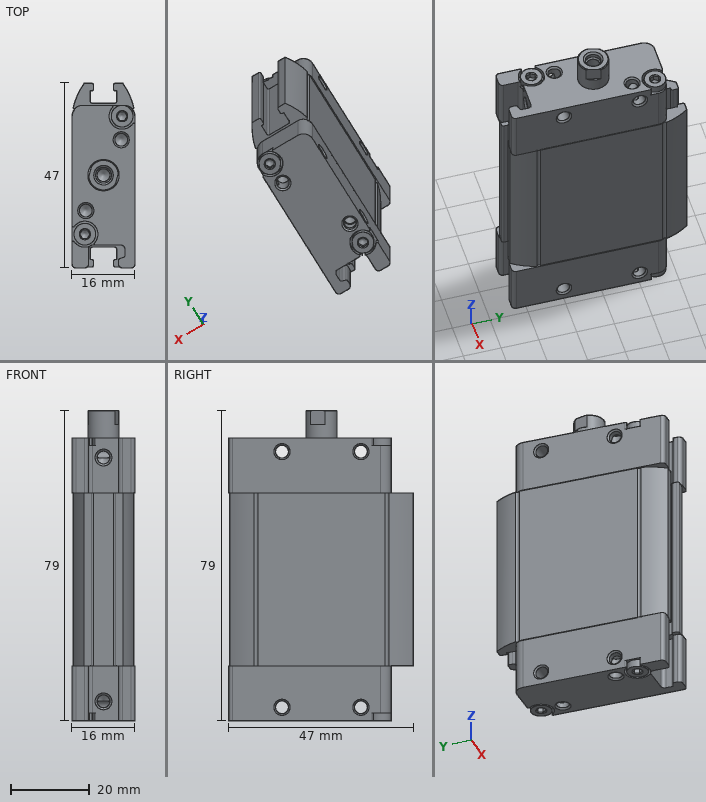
import cadquery as cq
import math


TOTAL_HEIGHT = 79.0
CAP_HEIGHT = 14.0
TUBE_HEIGHT = 44.0
TUBE_TOP = CAP_HEIGHT + TUBE_HEIGHT

CAP_WIDTH = 16.0
CAP_HALF_WIDTH = CAP_WIDTH / 2
CAP_BACK = 17.8
CAP_FRONT = -23.6
CAP_BACK_RADIUS = 2.8
CAP_EDGE_RADIUS = 1.0

CAP_SLOT_HALF_WIDTH = 3.8
CAP_SLOT_FLOOR = -17.8
UNDERCUT_X = 5.45
UNDERCUT_CORNER_Y = -20.8
UNDERCUT_LIP_Y = -21.3
UNDERCUT_RADIUS = 0.5

TUBE_HALF_WIDTH = 7.75
TOTAL_DEPTH = 47.0
TUBE_HALF_DEPTH = TOTAL_DEPTH + CAP_FRONT
TUBE_END_HALF_WIDTH = 4.9
FLANK_MID = (6.7, 20.2)
FLANK_START_Y = 17.15
GROOVE_WIDTH = 1.0
GROOVE_DEPTH = 0.3
T_SLOT_MOUTH_HALF_WIDTH = 2.5
T_SLOT_HALF_WIDTH = 3.3
T_SLOT_DEPTH = 5.05
T_SLOT_LIP = 2.0
T_SLOT_EDGE_RADIUS = 0.5

SCREW_X = 4.75
SCREW_Y = 15.0
SCREW_HEAD_DIAMETER = 5.5
SCREW_RECESS_DIAMETER = 6.6
SCREW_RECESS_DEPTH = 2.0
BREAKOUT_RADIUS = 0.3
SOCKET_ACROSS_FLATS = 2.2
SOCKET_MOUTH_DIAMETER = 2.85
SOCKET_DEPTH = 1.6

DRILL_DIAMETER = 3.2
DRILL_POINT_ANGLE = 118
HOLE_MOUTH_DIAMETER = 4.1
PORT_MOUTH_DIAMETER = 4.3
END_HOLE_X = 4.5
END_HOLE_Y = 9.0
END_HOLE_DEPTH = 6.0
CROSS_HOLE_Y = 10.0
CROSS_HOLE_INSET = 3.5
PORT_INSET = 5.0
PORT_DEPTH = 7.0

EDGE_MARGIN = 0.1

ROD_DIAMETER = 8.0
ROD_CHAMFER = 0.2
ROD_ACROSS_FLATS = 7.0
ROD_FLAT_LENGTH = 3.55
ROD_FLAT_ANGLE = -15
ROD_BORE_MOUTH_DIAMETER = 5.0
ROD_BORE_DIAMETER = 4.0
ROD_BORE_DEPTH = 1.4
ROD_DRILL_DEPTH = 8.0


def point_depth(diameter):
    """Depth of the cone that a drill of this diameter leaves."""
    return diameter / 2 / math.tan(math.radians(DRILL_POINT_ANGLE / 2))


def drill(diameter, depth):
    """Cutter for a blind hole from the origin toward -Z, with a drill point beyond its depth."""
    return (
        cq.Workplane("XZ")
        .lineTo(diameter / 2, 0)
        .lineTo(diameter / 2, -depth)
        .lineTo(0, -depth - point_depth(diameter))
        .close()
        .revolve(360, (0, 0, 0), (0, 1, 0))
    )


def countersink(diameter):
    """45 degree cone from the origin toward -Z."""
    radius = diameter / 2
    return cq.Workplane(cq.Solid.makeCone(radius, 0, radius, cq.Vector(0, 0, 0), cq.Vector(0, 0, -1)))


def drilled_hole(diameter, depth, mouth_diameter):
    """A drill cutter with a countersunk mouth."""
    return drill(diameter, depth).union(countersink(mouth_diameter))


def cap_blank():
    """Cap block from Z = 0 to CAP_HEIGHT with its rounded corners and front slot."""
    block = (
        cq.Workplane("XY")
        .center(0, (CAP_BACK + CAP_FRONT) / 2)
        .rect(CAP_WIDTH, CAP_BACK - CAP_FRONT)
        .extrude(CAP_HEIGHT)
        .edges("|Z and >Y").fillet(CAP_BACK_RADIUS)
    )
    slot = (
        cq.Workplane("XY")
        .moveTo(-CAP_SLOT_HALF_WIDTH, CAP_FRONT)
        .lineTo(-CAP_SLOT_HALF_WIDTH, CAP_SLOT_FLOOR)
        .lineTo(UNDERCUT_X, CAP_SLOT_FLOOR)
        .lineTo(UNDERCUT_X, UNDERCUT_CORNER_Y)
        .lineTo(CAP_SLOT_HALF_WIDTH, UNDERCUT_LIP_Y)
        .lineTo(CAP_SLOT_HALF_WIDTH, CAP_FRONT)
        .close()
        .extrude(CAP_HEIGHT)
        .edges("|Z and >Y").fillet(CAP_EDGE_RADIUS)
    )
    lip_edges = cq.selectors.BoxSelector(
        (CAP_SLOT_HALF_WIDTH - EDGE_MARGIN, UNDERCUT_LIP_Y - EDGE_MARGIN, 0),
        (UNDERCUT_X + EDGE_MARGIN, UNDERCUT_CORNER_Y + EDGE_MARGIN, CAP_HEIGHT),
    )
    slot = slot.edges("|Z").edges(lip_edges).fillet(UNDERCUT_RADIUS)
    return block.cut(slot).edges("|Z and <Y").fillet(CAP_EDGE_RADIUS)


def breakout(wall_distance):
    """Plan of the rounded opening where a screw recess breaks through a wall on its +X side.

    Two small rounds, each tangent to the recess and to the wall, bound the opening.
    """
    recess_radius = SCREW_RECESS_DIAMETER / 2
    center_distance = recess_radius + BREAKOUT_RADIUS
    center_x = wall_distance - BREAKOUT_RADIUS
    half_width = math.sqrt(center_distance**2 - center_x**2)
    start_x = center_x * recess_radius / center_distance
    rounds = (
        cq.Workplane("XY")
        .pushPoints([(center_x, -half_width), (center_x, half_width)])
        .circle(BREAKOUT_RADIUS)
        .extrude(-SCREW_RECESS_DEPTH)
    )
    return (
        cq.Workplane("XY")
        .center((start_x + wall_distance) / 2, 0)
        .rect(wall_distance - start_x, 2 * half_width)
        .extrude(-SCREW_RECESS_DEPTH)
        .cut(rounds)
    )


def screw_recess():
    """Cutter for the ring around the screw head at +X, +Y, down from the origin."""
    side_breakout = breakout(CAP_HALF_WIDTH - SCREW_X)
    inner_half = cq.Workplane("XY").rect(CAP_WIDTH, CAP_WIDTH).extrude(-SCREW_RECESS_DEPTH)
    inner_half = inner_half.translate((-CAP_HALF_WIDTH, 0, 0))
    end_breakout = breakout(CAP_BACK - SCREW_Y).rotate((0, 0, 0), (0, 0, 1), 90).intersect(inner_half)
    head = cq.Workplane("XY").circle(SCREW_HEAD_DIAMETER / 2).extrude(-SCREW_RECESS_DEPTH)
    return (
        cq.Workplane("XY")
        .circle(SCREW_RECESS_DIAMETER / 2)
        .extrude(-SCREW_RECESS_DEPTH)
        .union(side_breakout)
        .union(end_breakout)
        .cut(head)
    )


def screw_socket():
    """Cutter for a hexagon socket with a countersunk mouth, down from the origin."""
    across_corners = SOCKET_ACROSS_FLATS / math.cos(math.radians(30))
    hexagon = cq.Workplane("XY").polygon(6, across_corners).extrude(-CAP_HEIGHT)
    return hexagon.intersect(drill(across_corners, SOCKET_DEPTH)).union(countersink(SOCKET_MOUTH_DIAMETER))


def make_cap():
    """Cap with its outer end face up at CAP_HEIGHT."""
    cap = cap_blank()
    end_hole = drilled_hole(DRILL_DIAMETER, END_HOLE_DEPTH, HOLE_MOUTH_DIAMETER)
    recess = screw_recess().translate((SCREW_X, SCREW_Y, CAP_HEIGHT))
    socket = screw_socket().translate((SCREW_X, SCREW_Y, CAP_HEIGHT))
    end_hole = end_hole.translate((END_HOLE_X, END_HOLE_Y, CAP_HEIGHT))
    for turn in (0, 180):
        for cutter in (recess, socket, end_hole):
            cap = cap.cut(cutter.rotate((0, 0, 0), (0, 0, 1), turn))

    half_hole = drilled_hole(DRILL_DIAMETER, CAP_HALF_WIDTH, HOLE_MOUTH_DIAMETER)
    for y in (-CROSS_HOLE_Y, CROSS_HOLE_Y):
        for side in (-1, 1):
            cross_hole = half_hole.rotate((0, 0, 0), (0, 1, 0), side * 90)
            cross_hole = cross_hole.translate(
                (side * CAP_HALF_WIDTH, y, CAP_HEIGHT - CROSS_HOLE_INSET)
            )
            cap = cap.cut(cross_hole)

    port = drilled_hole(DRILL_DIAMETER, PORT_DEPTH, PORT_MOUTH_DIAMETER)
    port = port.rotate((0, 0, 0), (1, 0, 0), 90)
    return cap.cut(port.translate((0, CAP_SLOT_FLOOR, CAP_HEIGHT - PORT_INSET)))


def make_top_cap():
    """Cap on the tube, bored through for the rod."""
    bore = cq.Workplane("XY").circle(ROD_DIAMETER / 2).extrude(CAP_HEIGHT)
    return make_cap().cut(bore).translate((0, 0, TUBE_TOP))


def make_bottom_cap():
    """The same cap without the rod bore, turned to face down."""
    return make_cap().mirror("XY").translate((0, 0, CAP_HEIGHT))


def make_tube():
    """Extruded tube: bowed flanks, four shallow side grooves and a T-slot at each end."""
    groove_end_y = FLANK_START_Y - GROOVE_WIDTH
    groove_mid = (TUBE_HALF_WIDTH - GROOVE_DEPTH, FLANK_START_Y - GROOVE_WIDTH / 2)
    outline = cq.Workplane("XY").moveTo(0, TUBE_HALF_DEPTH)
    outline = (
        outline.lineTo(TUBE_END_HALF_WIDTH, TUBE_HALF_DEPTH)
        .threePointArc(FLANK_MID, (TUBE_HALF_WIDTH, FLANK_START_Y))
        .threePointArc(groove_mid, (TUBE_HALF_WIDTH, groove_end_y))
        .lineTo(TUBE_HALF_WIDTH, 0)
        .lineTo(0, 0)
        .close()
    )
    quarter = outline.extrude(TUBE_HEIGHT)
    half = quarter.union(quarter.mirror("YZ"))
    floor_y = TUBE_HALF_DEPTH - T_SLOT_DEPTH
    lip_y = TUBE_HALF_DEPTH - T_SLOT_LIP
    slot = (
        cq.Workplane("XY")
        .moveTo(-T_SLOT_HALF_WIDTH, floor_y)
        .lineTo(T_SLOT_HALF_WIDTH, floor_y)
        .lineTo(T_SLOT_HALF_WIDTH, lip_y)
        .lineTo(T_SLOT_MOUTH_HALF_WIDTH, lip_y)
        .lineTo(T_SLOT_MOUTH_HALF_WIDTH, TUBE_HALF_DEPTH)
        .lineTo(-T_SLOT_MOUTH_HALF_WIDTH, TUBE_HALF_DEPTH)
        .lineTo(-T_SLOT_MOUTH_HALF_WIDTH, lip_y)
        .lineTo(-T_SLOT_HALF_WIDTH, lip_y)
        .close()
        .extrude(TUBE_HEIGHT)
        .edges("|Z and <Y").fillet(T_SLOT_EDGE_RADIUS)
    )
    half = half.cut(slot)
    lips = cq.selectors.BoxSelector(
        (-T_SLOT_MOUTH_HALF_WIDTH - EDGE_MARGIN, lip_y - EDGE_MARGIN, 0),
        (T_SLOT_MOUTH_HALF_WIDTH + EDGE_MARGIN, TUBE_HALF_DEPTH + EDGE_MARGIN, TUBE_HEIGHT),
    )
    half = half.edges("|Z").edges(lips).fillet(T_SLOT_EDGE_RADIUS)
    return half.union(half.mirror("XZ")).translate((0, 0, CAP_HEIGHT))


def make_rod():
    """Piston rod from the tube up, with two wrench flats and a stepped bore in its end."""
    rod = (
        cq.Workplane("XY")
        .workplane(offset=TUBE_TOP)
        .circle(ROD_DIAMETER / 2)
        .extrude(TOTAL_HEIGHT - TUBE_TOP)
        .faces(">Z").edges().chamfer(ROD_CHAMFER)
    )
    between_flats = cq.Workplane("XY").rect(ROD_ACROSS_FLATS, ROD_DIAMETER).extrude(ROD_FLAT_LENGTH)
    flats = cq.Workplane("XY").circle(ROD_DIAMETER).extrude(ROD_FLAT_LENGTH).cut(between_flats)
    flats = flats.rotate((0, 0, 0), (0, 0, 1), ROD_FLAT_ANGLE)
    rod = rod.cut(flats.translate((0, 0, TOTAL_HEIGHT - ROD_FLAT_LENGTH)))
    counterbore = cq.Workplane("XY").circle(ROD_BORE_DIAMETER / 2).extrude(-ROD_BORE_DEPTH)
    counterbore = counterbore.union(countersink(ROD_BORE_MOUTH_DIAMETER))
    pilot = drilled_hole(DRILL_DIAMETER, ROD_DRILL_DEPTH, ROD_BORE_DIAMETER)
    rod = rod.cut(counterbore.translate((0, 0, TOTAL_HEIGHT)))
    return rod.cut(pilot.translate((0, 0, TOTAL_HEIGHT - ROD_BORE_DEPTH)))


top_cap = make_top_cap()
tube = make_tube()
bottom_cap = make_bottom_cap()
rod = make_rod()

result = cq.Compound.makeCompound([top_cap.val(), tube.val(), bottom_cap.val(), rod.val()])